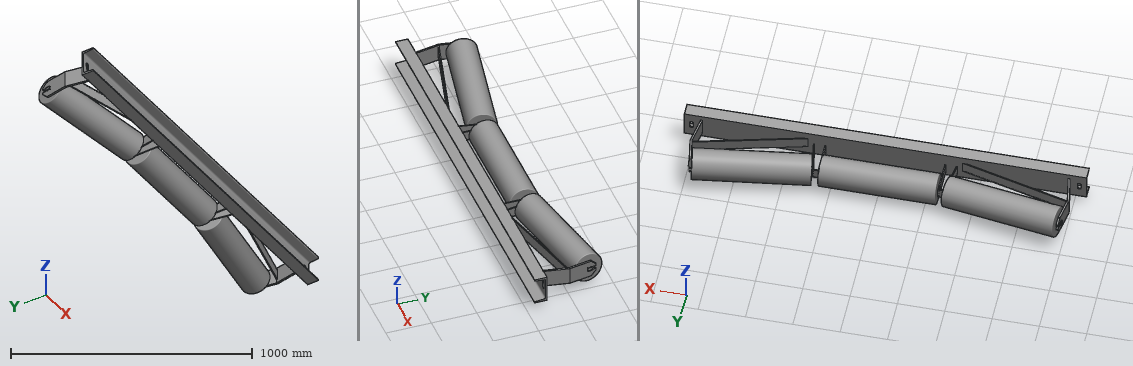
import cadquery as cq
import math


BEAM_LENGTH = 1700.0
BEAM_HEIGHT = 120.0
BEAM_DEPTH = 55.0
WEB_THICKNESS = 6.0
FLANGE_TIP_THICKNESS = 7.0
FLANGE_TAPER = 0.08
ROOT_RADIUS = 8.0
TIP_RADIUS = 4.2
SLOT_WIDTH = 15.0
SLOT_HEIGHT = 35.0
SLOT_INSET = 30.0

ROLLER_DIAMETER = 133.0
ROLLER_LENGTH = 496.0
ROLLER_EDGE_RADIUS = 3.0
SHAFT_DIAMETER = 22.0
SHAFT_FLATS = 15.0
SHAFT_OVERHANG = 3.0
CENTRE_ROLLER_Y = 117.0
CENTRE_ROLLER_Z = -20.0
TROUGH_ANGLE = 10.0
FORWARD_ANGLE = 2.2
SIDE_INNER_X = 285.0
SIDE_INNER_Y = 122.0
SIDE_OUTER_Z = 0.0

INNER_PLATE_THICKNESS = 5.0
END_PLATE_THICKNESS = 8.0
END_BRACKET_WIDTH = 76.0
INNER_BRACKET_WIDTH = 45.0
ROLLER_GAP = 2.5
INNER_BRACKET_TOP = 141.0
END_BRACKET_TOP = 241.0
END_BRACKET_BEND = 117.0
TIP_CORNER = 24.0
BRACE_THICKNESS = 5.0
BRACE_WIDTH = 50.0
BRACE_Z = 3.0
BRACE_FOOT_X = 326.0

INNER_PROTRUSION = ROLLER_GAP + INNER_PLATE_THICKNESS
OUTER_PROTRUSION = ROLLER_GAP + END_PLATE_THICKNESS + SHAFT_OVERHANG
TROUGH_TAN = math.tan(math.radians(TROUGH_ANGLE))
TROUGH_COS = math.cos(math.radians(TROUGH_ANGLE))
TROUGH_SIN = math.sin(math.radians(TROUGH_ANGLE))
FORWARD_COS = math.cos(math.radians(FORWARD_ANGLE))
FORWARD_SIN = math.sin(math.radians(FORWARD_ANGLE))

SIDE_AXIS = cq.Vector(TROUGH_COS * FORWARD_COS, TROUGH_SIN * FORWARD_COS, FORWARD_SIN)
SIDE_INNER = cq.Vector(SIDE_INNER_X, SIDE_INNER_Y, SIDE_OUTER_Z - ROLLER_LENGTH * FORWARD_SIN)
SIDE_OUTER = SIDE_INNER + SIDE_AXIS * ROLLER_LENGTH
CENTRE_AXIS = cq.Vector(1, 0, 0)
CENTRE_START = cq.Vector(-ROLLER_LENGTH / 2, CENTRE_ROLLER_Y, CENTRE_ROLLER_Z)


def vertical_plate(outline, width, middle_z):
    """Plate with the given XY outline, its width centred on the height middle_z."""
    middle_plane = cq.Workplane("XY", origin=(0, 0, middle_z))
    return middle_plane.polyline(outline).close().extrude(width / 2, both=True)


def make_beam():
    half = BEAM_HEIGHT / 2
    tip = half - FLANGE_TIP_THICKNESS
    root = tip - FLANGE_TAPER * (BEAM_DEPTH - WEB_THICKNESS)
    beam = (
        cq.Workplane("YZ")
        .polyline([
            (0, -half), (-BEAM_DEPTH, -half), (-BEAM_DEPTH, -tip), (-WEB_THICKNESS, -root),
            (-WEB_THICKNESS, root), (-BEAM_DEPTH, tip), (-BEAM_DEPTH, half), (0, half),
        ])
        .close()
        .extrude(BEAM_LENGTH / 2, both=True)
    )
    for side in (1, -1):
        root_corner = cq.selectors.NearestToPointSelector((0, -WEB_THICKNESS, side * root))
        beam = beam.edges(root_corner).fillet(ROOT_RADIUS)
        tip_corner = cq.selectors.NearestToPointSelector((0, -BEAM_DEPTH, side * tip))
        beam = beam.edges(tip_corner).fillet(TIP_RADIUS)
    slot_x = BEAM_LENGTH / 2 - SLOT_INSET
    slots = (
        cq.Workplane("XZ")
        .pushPoints([(-slot_x, 0), (slot_x, 0)])
        .slot2D(SLOT_HEIGHT, SLOT_WIDTH, 90)
        .extrude(WEB_THICKNESS)
    )
    return beam.cut(slots)


def roller_plane(start, axis):
    """Plane across a roller axis, with its local X level and pointing away from the beam."""
    across = cq.Vector(0, 0, 1).cross(axis)
    return cq.Plane(origin=start, xDir=across, normal=axis)


def make_shaft(start, axis, end_protrusion):
    """Shaft with two flats, standing out of both roller ends."""
    length = INNER_PROTRUSION + ROLLER_LENGTH + end_protrusion
    plane = roller_plane(start - axis * INNER_PROTRUSION, axis)
    shaft = cq.Workplane(plane).circle(SHAFT_DIAMETER / 2).extrude(length)
    flats = cq.Workplane(plane).rect(SHAFT_DIAMETER, SHAFT_FLATS).extrude(length)
    return shaft.intersect(flats)


def make_centre_shaft():
    return make_shaft(CENTRE_START, CENTRE_AXIS, INNER_PROTRUSION)


def make_side_shaft():
    return make_shaft(SIDE_INNER, SIDE_AXIS, OUTER_PROTRUSION)


def make_drum(start, axis):
    drum = cq.Workplane(roller_plane(start, axis)).circle(ROLLER_DIAMETER / 2).extrude(ROLLER_LENGTH)
    return drum.edges("%CIRCLE").fillet(ROLLER_EDGE_RADIUS)


def make_centre_roller():
    return make_drum(CENTRE_START, CENTRE_AXIS).union(make_centre_shaft())


def make_side_roller():
    return make_drum(SIDE_INNER, SIDE_AXIS).union(make_side_shaft())


def make_inner_bracket():
    near = ROLLER_LENGTH / 2 + ROLLER_GAP

    def slanted_x(y, offset):
        """X of the leg face lying offset inwards from the side roller, at distance y from the beam."""
        return SIDE_INNER_X - offset / TROUGH_COS - (y - SIDE_INNER_Y) * TROUGH_TAN

    under = INNER_BRACKET_TOP - INNER_PLATE_THICKNESS
    bracket = vertical_plate([
        (near, 0),
        (near, INNER_BRACKET_TOP),
        (slanted_x(INNER_BRACKET_TOP, ROLLER_GAP), INNER_BRACKET_TOP),
        (slanted_x(0, ROLLER_GAP), 0),
        (slanted_x(0, INNER_PROTRUSION), 0),
        (slanted_x(under, INNER_PROTRUSION), under),
        (near + INNER_PLATE_THICKNESS, under),
        (near + INNER_PLATE_THICKNESS, 0),
    ], INNER_BRACKET_WIDTH, CENTRE_ROLLER_Z)
    return bracket.cut(make_centre_shaft()).cut(make_side_shaft())


def end_bracket_x(y, offset):
    """X of the plate face lying offset outwards from the roller, at distance y from the beam."""
    bend_x = SIDE_OUTER.x + offset / TROUGH_COS + (SIDE_OUTER.y - END_BRACKET_BEND) * TROUGH_TAN
    return bend_x - abs(y - END_BRACKET_BEND) * TROUGH_TAN


def make_end_bracket():
    distances = [0, END_BRACKET_BEND, END_BRACKET_TOP]
    inside = [(end_bracket_x(y, ROLLER_GAP), y) for y in distances]
    outside = [(end_bracket_x(y, ROLLER_GAP + END_PLATE_THICKNESS), y) for y in reversed(distances)]
    bracket = vertical_plate(inside + outside, END_BRACKET_WIDTH, 0)
    bracket = bracket.faces(">Y").edges("<Z or >Z").chamfer(TIP_CORNER)
    slot_length = END_BRACKET_TOP
    slot = (
        cq.Workplane(roller_plane(SIDE_OUTER, SIDE_AXIS))
        .center(slot_length / 2, 0)
        .rect(slot_length, SHAFT_FLATS)
        .extrude(OUTER_PROTRUSION)
    )
    return bracket.cut(slot).cut(make_side_shaft())


def make_brace():
    head_x = end_bracket_x(END_BRACKET_BEND, ROLLER_GAP)
    slope = END_BRACKET_BEND / (head_x - BRACE_FOOT_X)
    lower_foot_x = BRACE_FOOT_X + BRACE_THICKNESS * math.hypot(1, slope) / slope
    lower_head_y = slope * (end_bracket_x(0, ROLLER_GAP) - lower_foot_x) / (1 - slope * TROUGH_TAN)
    return vertical_plate([
        (head_x, END_BRACKET_BEND),
        (BRACE_FOOT_X, 0),
        (lower_foot_x, 0),
        (end_bracket_x(lower_head_y, ROLLER_GAP), lower_head_y),
    ], BRACE_WIDTH, BRACE_Z)


beam = make_beam()
centre_roller = make_centre_roller()
paired_bodies = [make_side_roller(), make_inner_bracket(), make_end_bracket(), make_brace()]

solids = [beam.val(), centre_roller.val()]
for body in paired_bodies:
    solids += [body.val(), body.mirror("YZ").val()]

result = cq.Compound.makeCompound(solids)